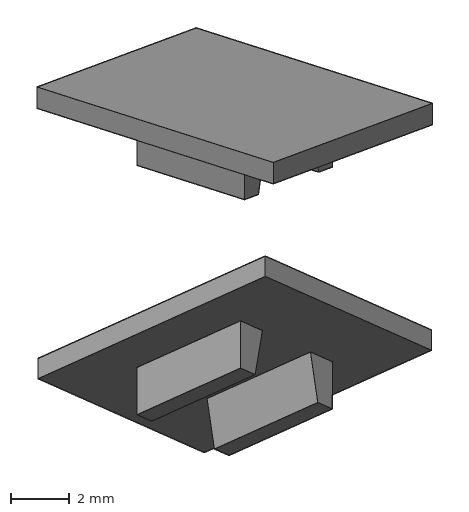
import cadquery as cq

plate_length = 11.0
plate_width = 8.0
total_height = 2.58
leg_height = 1.8
plate_thickness = total_height - leg_height

leg_length = 5.0
leg_span = 4.42
leg_root = 1.06
leg_tip = 0.7


def make_plate():
    """Flat rectangular plate whose underside lies at Z = 0."""
    return cq.Workplane("XY").box(
        plate_length, plate_width, plate_thickness, centered=(True, True, False)
    )


def make_leg(side):
    """Leg with an upright outer face and a sloping inner face; side is +1 or -1 along Y."""
    outer = leg_span / 2
    profile = [
        (side * outer, plate_thickness / 2),
        (side * outer, -leg_height),
        (side * (outer - leg_tip), -leg_height),
        (side * (outer - leg_root), 0),
        (side * (outer - leg_root), plate_thickness / 2),
    ]
    return cq.Workplane("YZ").polyline(profile).close().extrude(leg_length / 2, both=True)


result = make_plate()
for side in (-1, 1):
    result = result.union(make_leg(side))